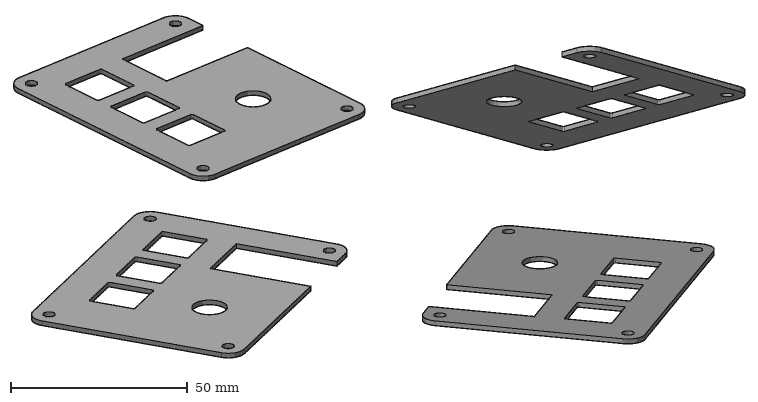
import cadquery as cq

length = 81.9
width = 65.2
thickness = 1.5
corner_radius = 5.0

mount_hole_diameter = 3.4
mount_spacing_x = length - 2 * corner_radius
mount_spacing_y = width - 2 * corner_radius

notch_width = 18.6
notch_depth = 31.0
notch_left_margin = 11.1

round_opening_diameter = 10.0
round_opening_from_left = 54.5
round_opening_from_back = 20.5

window_count = 3
window_size = 14.0
window_corner_radius = 0.5
window_pitch = 19.1
middle_window_from_left = 37.8
windows_from_front = 18.6

left_edge = -length / 2
front_edge = -width / 2
back_edge = width / 2


def make_plate():
    plate = cq.Workplane("XY").rect(length, width).extrude(thickness)
    return plate.edges("|Z").fillet(corner_radius)


def make_mount_holes():
    corners = cq.Workplane("XY").rect(mount_spacing_x, mount_spacing_y, forConstruction=True)
    return corners.vertices().circle(mount_hole_diameter / 2).extrude(thickness)


def make_notch():
    center_x = left_edge + notch_left_margin + notch_width / 2
    center_y = back_edge - notch_depth / 2
    return cq.Workplane("XY").center(center_x, center_y).rect(notch_width, notch_depth).extrude(thickness)


def make_round_opening():
    center_x = left_edge + round_opening_from_left
    center_y = back_edge - round_opening_from_back
    return cq.Workplane("XY").center(center_x, center_y).circle(round_opening_diameter / 2).extrude(thickness)


def make_windows():
    center_x = left_edge + middle_window_from_left
    center_y = front_edge + windows_from_front
    row = cq.Workplane("XY").center(center_x, center_y).rarray(window_pitch, 0.8, window_count, 1)
    windows = row.rect(window_size, window_size).extrude(thickness)
    return windows.edges("|Z").fillet(window_corner_radius)


result = (
    make_plate()
    .cut(make_mount_holes())
    .cut(make_notch())
    .cut(make_round_opening())
    .cut(make_windows())
)